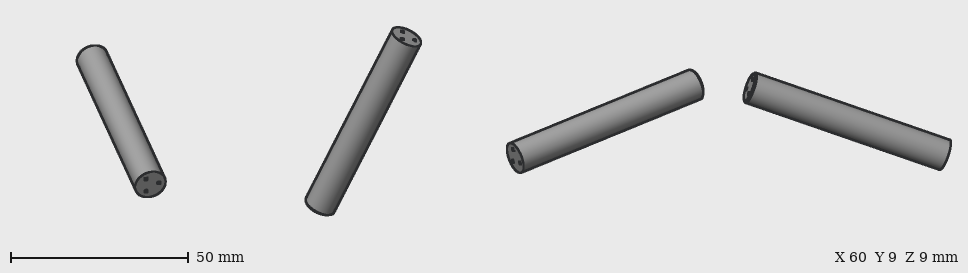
import cadquery as cq
import math

length = 60.0
diameter = 9.0
chamfer = 0.45

channel_count = 3
channel_diameter = 0.9
channel_circle_radius = 2.5
first_channel_angle = 39.0
helix_angle = 30.0

helix_pitch = math.pi * diameter / math.tan(math.radians(helix_angle))
twist_angle = 360.0 * length / helix_pitch


def make_rod():
    """Cylinder centred on the origin with its -X rim chamfered."""
    rod = cq.Workplane("YZ", origin=(-length / 2, 0, 0)).circle(diameter / 2).extrude(length)
    return rod.faces("<X").chamfer(chamfer)


def make_channel(angle):
    """Helical channel through the full length, starting at the given angle."""
    y = channel_circle_radius * math.cos(math.radians(angle))
    z = channel_circle_radius * math.sin(math.radians(angle))
    section = cq.Workplane("YZ", origin=(-length / 2, 0, 0)).moveTo(y, z).circle(channel_diameter / 2)
    return cq.Workplane(
        cq.Solid.extrudeLinearWithRotation(
            section.wire().val(),
            [],
            cq.Vector(-length / 2, 0, 0),
            cq.Vector(length, 0, 0),
            twist_angle,
        )
    )


result = make_rod()
for index in range(channel_count):
    result = result.cut(make_channel(first_channel_angle + index * 360.0 / channel_count))